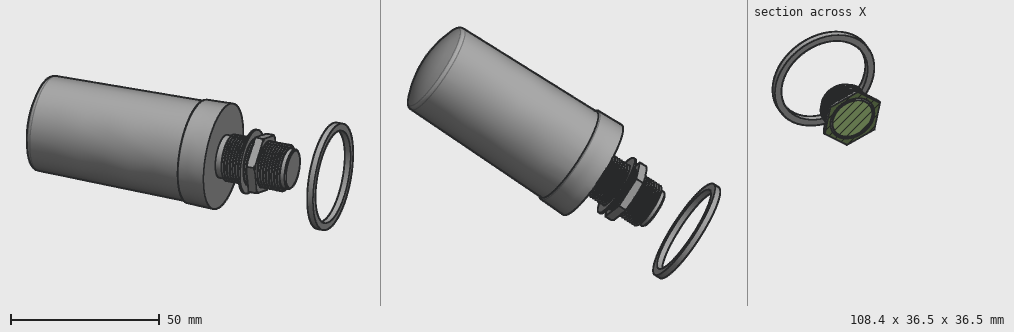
import cadquery as cq
import math


DOME_SPHERE_RADIUS = 35.8
COVER_NOSE_RADIUS = 16.3
COVER_ROOT_RADIUS = 17.2
NOSE_FILLET = 1.5
COLLAR_START = 59.0
COLLAR_END = 68.6
COLLAR_START_RADIUS = 17.8
COLLAR_END_RADIUS = 18.1
COLLAR_FILLET = 0.3

THREAD_START = 70.8
THREAD_PITCH = 1.01
THREAD_RIDGES = 21
RIDGE_WIDTH = 0.9
THREAD_ROOT_RADIUS = 7.4
THREAD_CREST_RADIUS = 8.0
SHANK_END = 93.9
SHANK_END_RADIUS = 6.8
SHANK_END_CHAMFER = 0.4

WASHER_START = 78.4
WASHER_THICKNESS = 0.7
WASHER_RADIUS = 11.0
NUT_START = 81.0
NUT_THICKNESS = 3.0
NUT_ACROSS_FLATS = 18.8
NUT_TURN = 19.0
NUT_CHAMFER_WIDTH = 0.5
NUT_CHAMFER_DEPTH = 0.4

GASKET_DIAMETER = 36.5
GASKET_BORE_RADIUS = 15.8
GASKET_END = 108.4
GASKET_THICKNESS = 2.2


def revolve_about_x(profile):
    """Turn a closed profile, drawn in the XZ plane as (X, radius), about the X axis."""
    return profile.close().revolve(360, (0, 0, 0), (1, 0, 0))


def dome_depth(radius):
    """Distance from the dome tip to the point of the dome at this radius."""
    return DOME_SPHERE_RADIUS - math.sqrt(DOME_SPHERE_RADIUS**2 - radius**2)


def make_ring(start, thickness, outer_radius, bore_radius):
    """Flat ring around the X axis."""
    return (
        cq.Workplane("YZ", origin=(start, 0, 0))
        .circle(outer_radius)
        .circle(bore_radius)
        .extrude(thickness)
    )


def round_circle(body, circle_radius, fillet_radius):
    """Round the circular edge that has the given radius."""
    edge = body.edges("%CIRCLE").filter(lambda circle: math.isclose(circle.radius(), circle_radius))
    return edge.fillet(fillet_radius)


def make_cover():
    """Solid domed cover and collar, with the nose and collar edges rounded."""
    dome_middle_radius = COVER_NOSE_RADIUS / 2
    nose_edge_x = dome_depth(COVER_NOSE_RADIUS)
    cover = revolve_about_x(
        cq.Workplane("XZ")
        .moveTo(0, 0)
        .threePointArc(
            (dome_depth(dome_middle_radius), dome_middle_radius),
            (nose_edge_x, COVER_NOSE_RADIUS),
        )
        .lineTo(COLLAR_START, COVER_ROOT_RADIUS)
        .lineTo(COLLAR_START, COLLAR_START_RADIUS)
        .lineTo(COLLAR_END, COLLAR_END_RADIUS)
        .lineTo(COLLAR_END, 0)
    )
    cover = round_circle(cover, COVER_NOSE_RADIUS, NOSE_FILLET)
    return round_circle(cover, COLLAR_START_RADIUS, COLLAR_FILLET)


def make_shank():
    """Neck, thread ridges and chamfered end, as one turned piece."""
    thread_end = THREAD_START + (THREAD_RIDGES - 1) * THREAD_PITCH + RIDGE_WIDTH
    profile = (
        cq.Workplane("XZ")
        .moveTo(COLLAR_END, 0)
        .lineTo(COLLAR_END, THREAD_ROOT_RADIUS)
    )
    for ridge in range(THREAD_RIDGES):
        ridge_start = THREAD_START + ridge * THREAD_PITCH
        profile = (
            profile.lineTo(ridge_start, THREAD_ROOT_RADIUS)
            .lineTo(ridge_start + RIDGE_WIDTH / 2, THREAD_CREST_RADIUS)
            .lineTo(ridge_start + RIDGE_WIDTH, THREAD_ROOT_RADIUS)
        )
    return revolve_about_x(
        profile.lineTo(thread_end, SHANK_END_RADIUS)
        .lineTo(SHANK_END - SHANK_END_CHAMFER, SHANK_END_RADIUS)
        .lineTo(SHANK_END, SHANK_END_RADIUS - SHANK_END_CHAMFER)
        .lineTo(SHANK_END, 0)
    )


def make_housing():
    """Cover and threaded shank as one solid."""
    return make_cover().union(make_shank())


def make_washer():
    """Thin washer that fits over the thread crests."""
    return make_ring(WASHER_START, WASHER_THICKNESS, WASHER_RADIUS, THREAD_CREST_RADIUS)


def make_nut():
    """Hexagonal nut whose corners are turned down to a cone on the +X side."""
    corner_radius = NUT_ACROSS_FLATS / math.sqrt(3)
    nut_end = NUT_START + NUT_THICKNESS
    hexagon = (
        cq.Workplane("YZ", origin=(NUT_START, 0, 0))
        .polygon(6, 2 * corner_radius)
        .extrude(NUT_THICKNESS)
        .rotate((0, 0, 0), (1, 0, 0), -NUT_TURN)
    )
    chamfered_blank = revolve_about_x(
        cq.Workplane("XZ")
        .moveTo(NUT_START, THREAD_CREST_RADIUS)
        .lineTo(NUT_START, corner_radius)
        .lineTo(nut_end - NUT_CHAMFER_DEPTH, corner_radius)
        .lineTo(nut_end, corner_radius - NUT_CHAMFER_WIDTH)
        .lineTo(nut_end, THREAD_CREST_RADIUS)
    )
    return hexagon.intersect(chamfered_blank)


def make_gasket():
    """Flat gasket ring, set apart from the housing."""
    gasket_start = GASKET_END - GASKET_THICKNESS
    return make_ring(gasket_start, GASKET_THICKNESS, GASKET_DIAMETER / 2, GASKET_BORE_RADIUS)


housing = make_housing()
washer = make_washer()
nut = make_nut()
gasket = make_gasket()

result = cq.Compound.makeCompound([housing.val(), washer.val(), nut.val(), gasket.val()])